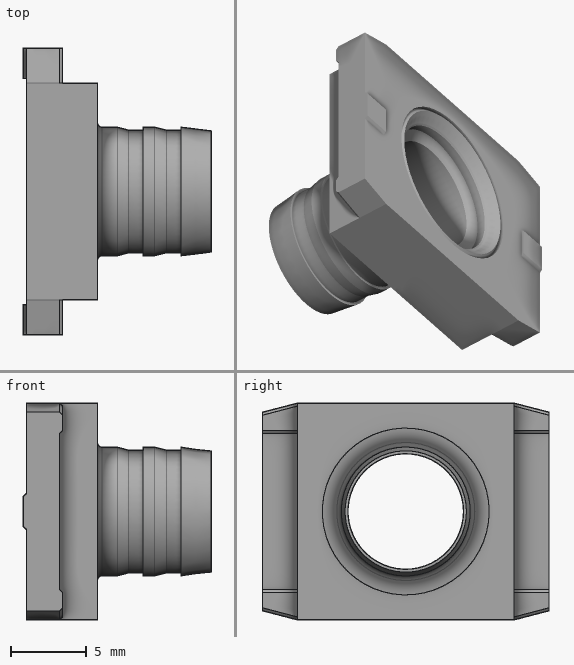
import cadquery as cq
import math


block_size = 14.3
block_half = block_size / 2
block_depth = 4.7
overall_width = 18.9
wing_half_span = overall_width / 2
wing_depth = 2.2
wing_corner_drop = 0.6
wing_end_half_height = block_half - wing_corner_drop

pad_rise = 0.2
pad_height = 2.0
tab_width = 2.0
tab_height = 2.4

flange_radius = 5.5
flange_chamfer = 0.3
root_fillet = 0.3
barb_radius = 4.25
neck_radius = 4.05
tip_radius = 4.0
tube_length = 7.5
tube_end = block_depth + tube_length
first_barb_end = block_depth + 1.3
first_neck_start = block_depth + 2.05
second_barb_start = block_depth + 3.0
second_barb_end = block_depth + 3.75
second_neck_start = block_depth + 4.55
tip_barb_start = block_depth + 5.5

mouth_radius = flange_radius - flange_chamfer
countersink_depth = 0.63
countersink_end_radius = mouth_radius - countersink_depth
seat_radius = 4.48
seat_lead_in = 0.12
seat_start = countersink_depth + seat_lead_in
seat_depth = 0.6
seat_end = seat_start + seat_depth
bore_radius = 3.8
throat_length = 0.4
bore_start = seat_end + throat_length


def wing_plate():
    """Plate across both wings, with its corners sloping down from the block edge."""
    outline = [
        (-wing_half_span, -wing_end_half_height),
        (-block_half, -block_half),
        (block_half, -block_half),
        (wing_half_span, -wing_end_half_height),
        (wing_half_span, wing_end_half_height),
        (block_half, block_half),
        (-block_half, block_half),
        (-wing_half_span, wing_end_half_height),
    ]
    return cq.Workplane("YZ").polyline(outline).close().extrude(wing_depth)


def wing_back_pad(side, end):
    """Pad on the back of one wing, bevelled along the sloped edge and along its inner edge.

    Its section is lofted from the block edge to the wing end, where the wing is lower.
    """
    pad_inner_z = block_half - pad_height

    def section(y, outer_z):
        points = [
            (wing_depth, pad_inner_z),
            (wing_depth + pad_rise, pad_inner_z + pad_rise),
            (wing_depth + pad_rise, outer_z - pad_rise),
            (wing_depth, outer_z),
        ]
        corners = [cq.Vector(x, side * y, end * z) for x, z in points]
        return cq.Wire.makePolygon(corners, close=True)

    inner_section = section(block_half, block_half)
    outer_section = section(wing_half_span, wing_end_half_height)
    return cq.Workplane(cq.Solid.makeLoft([inner_section, outer_section], True))


def front_tab(side):
    """Tab on the front of one wing, flush with the wing end and bevelled top and bottom."""
    half_height = tab_height / 2
    section = [
        (0, -half_height),
        (-pad_rise, -half_height + pad_rise),
        (-pad_rise, half_height - pad_rise),
        (0, half_height),
    ]
    tab_center = side * (wing_half_span - tab_width / 2)
    tab = cq.Workplane("XZ").polyline(section).close().extrude(tab_width / 2, both=True)
    return tab.translate((0, tab_center, 0))


def make_housing():
    block = cq.Workplane("YZ").rect(block_size, block_size).extrude(block_depth)
    body = block.union(wing_plate())
    for side in (-1, 1):
        body = body.union(front_tab(side))
        for end in (-1, 1):
            body = body.union(wing_back_pad(side, end))
    insert_hole = cq.Workplane("YZ").circle(flange_radius).extrude(block_depth)
    return body.cut(insert_hole)


def make_insert():
    """Hose insert: flange filling the housing hole, barbed tube behind it, countersunk bore."""
    root_radius = barb_radius + root_fillet
    arc_offset = root_fillet * (1 - math.cos(math.radians(45)))
    profile = (
        cq.Workplane("XY")
        .moveTo(0, mouth_radius)
        .lineTo(flange_chamfer, flange_radius)
        .lineTo(block_depth, flange_radius)
        .lineTo(block_depth, root_radius)
        .threePointArc(
            (block_depth + arc_offset, barb_radius + arc_offset),
            (block_depth + root_fillet, barb_radius),
        )
        .lineTo(first_barb_end, barb_radius)
        .lineTo(first_neck_start, neck_radius)
        .lineTo(second_barb_start, neck_radius)
        .lineTo(second_barb_start, barb_radius)
        .lineTo(second_barb_end, barb_radius)
        .lineTo(second_neck_start, neck_radius)
        .lineTo(tip_barb_start, neck_radius)
        .lineTo(tip_barb_start, barb_radius)
        .lineTo(tube_end, tip_radius)
        .lineTo(tube_end, bore_radius)
        .lineTo(bore_start, bore_radius)
        .lineTo(seat_end, seat_radius)
        .lineTo(seat_start, seat_radius)
        .lineTo(countersink_depth, countersink_end_radius)
        .close()
    )
    return profile.revolve(360, (0, 0, 0), (1, 0, 0))


housing = make_housing()
insert = make_insert()

result = cq.Compound.makeCompound([housing.val(), insert.val()])